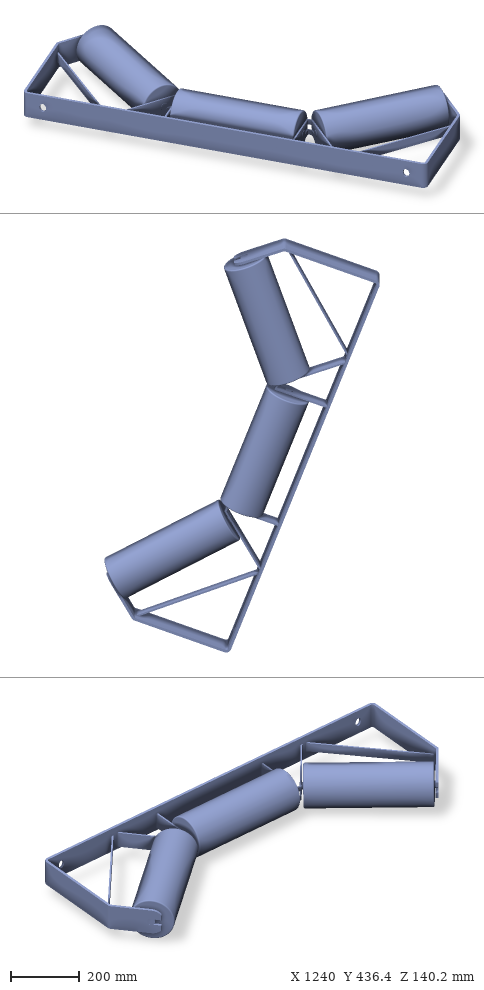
import cadquery as cq
import math

ROLLER_DIAMETER = 133.0
ROLLER_LENGTH = 380.0
RIM_FILLET = 4.0
SHAFT_DIAMETER = 22.0
FLAT_HEIGHT = 19.0
SHAFT_OVERHANG = 11.0
PLATE_GAP = 5.0
FLANGE_GAP = 4.0

CENTER_AXIS_Y = 125.0
CENTER_AXIS_Z = -7.0
SIDE_CENTER_X = 386.0
SIDE_CENTER_Y = 265.0
TROUGH_ANGLE = 40
TILT_ANGLE = 1.1

BAND_LENGTH = 1240
BAND_HEIGHT = 80.0
BAND_THICKNESS = 8.0
BEND_RADIUS = 15.0
FLANGE_TIP = 30.0
HOLE_WIDTH = 20.0
HOLE_HEIGHT = 26.0
HOLE_X = 558.0

PLATE_THICKNESS = 5.0
BRACKET_HEIGHT = 50.0
BRACKET_TOP_Y = 169.0
BRACE_HEIGHT = 30.0
BRACE_FOOT_X = 362.0
BRACE_HEAD_Y = 290.0

COS = math.cos(math.radians(TROUGH_ANGLE))
SIN = math.sin(math.radians(TROUGH_ANGLE))
ROLLER_END = ROLLER_LENGTH / 2
SHAFT_END = ROLLER_END + SHAFT_OVERHANG
PLATE_NEAR = ROLLER_END + PLATE_GAP
PLATE_FAR = PLATE_NEAR + PLATE_THICKNESS
FLANGE_NEAR = ROLLER_END + FLANGE_GAP
FLANGE_FAR = FLANGE_NEAR + BAND_THICKNESS
SIDE_CENTER_Z = CENTER_AXIS_Z + ROLLER_END * math.sin(math.radians(TILT_ANGLE))
BAND_OUTER_X = BAND_LENGTH / 2
BAND_INNER_X = BAND_OUTER_X - BAND_THICKNESS


def side_point(along, across):
    """Point beside the right roller: outward along its axis and upward across it."""
    x = SIDE_CENTER_X + along * COS - across * SIN
    y = SIDE_CENTER_Y + along * SIN + across * COS
    return (x, y)


def side_point_at_x(along, x):
    return side_point(along, (SIDE_CENTER_X + along * COS - x) / SIN)


def side_point_at_y(along, y):
    return side_point(along, (y - SIDE_CENTER_Y - along * SIN) / COS)


def at_center(shape):
    """Move a shape built along X at the origin to the level roller."""
    return shape.translate((0, CENTER_AXIS_Y, CENTER_AXIS_Z))


def at_right_side(shape):
    """Move a shape built along X at the origin to the right inclined roller."""
    tilted = shape.rotate((0, 0, 0), (0, 1, 0), -TILT_ANGLE)
    turned = tilted.rotate((0, 0, 0), (0, 0, 1), TROUGH_ANGLE)
    return turned.translate((SIDE_CENTER_X, SIDE_CENTER_Y, SIDE_CENTER_Z))


def mirrored(shape):
    return shape.mirror("YZ")


def strip(outline, height, middle_z):
    """Upright sheet strip with the given plan outline."""
    bottom = cq.Workplane("XY", origin=(0, 0, middle_z - height / 2))
    return bottom.polyline(outline).close().extrude(height)


def rod(diameter, length):
    """Round rod along X, centred on the origin."""
    return cq.Workplane("YZ", origin=(-length / 2, 0, 0)).circle(diameter / 2).extrude(length)


def flatted_rod(length):
    """Rod of the shaft's section, with flats on top and bottom."""
    return rod(SHAFT_DIAMETER, length).intersect(cq.Workplane().box(length, SHAFT_DIAMETER, FLAT_HEIGHT))


def make_roller():
    shell = rod(ROLLER_DIAMETER, ROLLER_LENGTH).edges().fillet(RIM_FILLET)
    return shell.union(flatted_rod(2 * SHAFT_END))


def make_slot_cutter():
    """Seat of both shaft ends, open upward, long enough to pass the plates at either end."""
    length = 2 * (SHAFT_END + BAND_THICKNESS)
    depth = ROLLER_DIAMETER / 2
    opening = cq.Workplane().box(length, depth, FLAT_HEIGHT).translate((0, depth / 2, 0))
    return flatted_rod(length).union(opening)


def make_flange_trim():
    """Everything outside the round flange tip of the right side, beyond the roller axis."""
    size = BAND_HEIGHT
    block = cq.Workplane().box(size, size, 2 * size).translate((0, size / 2, 0))
    tip = rod(BAND_HEIGHT, size)
    x, y = side_point(FLANGE_FAR, 0)
    return block.cut(tip).rotate((0, 0, 0), (0, 0, 1), TROUGH_ANGLE).translate((x, y, 0))


def make_band():
    right = [
        (BAND_OUTER_X, 0),
        side_point_at_x(FLANGE_FAR, BAND_OUTER_X),
        side_point(FLANGE_FAR, FLANGE_TIP),
        side_point(FLANGE_NEAR, FLANGE_TIP),
        side_point_at_x(FLANGE_NEAR, BAND_INNER_X),
        (BAND_INNER_X, BAND_THICKNESS),
    ]
    left = [(-x, y) for x, y in reversed(right)]
    band = strip(right + left, BAND_HEIGHT, 0)
    base_outer, bend_outer, _, _, bend_inner, base_inner = right
    inner_radius = BEND_RADIUS - BAND_THICKNESS
    for corner, radius in (
        (base_outer, BEND_RADIUS),
        (bend_outer, BEND_RADIUS),
        (bend_inner, inner_radius),
        (base_inner, inner_radius),
    ):
        x, y = corner
        for side in (1, -1):
            band = band.edges(cq.NearestToPointSelector((side * x, y, 0))).fillet(radius)
    holes = cq.Workplane("XZ").pushPoints([(HOLE_X, 0), (-HOLE_X, 0)])
    band = band.cut(holes.ellipse(HOLE_WIDTH / 2, HOLE_HEIGHT / 2).extrude(-BAND_THICKNESS))
    trim = make_flange_trim()
    return band.cut(trim).cut(mirrored(trim))


def make_bracket():
    """Right bracket: a leg at the level roller, a short roof, and a plate at the inclined one."""
    roof_bottom = BRACKET_TOP_Y - PLATE_THICKNESS
    outline = [
        (PLATE_NEAR, BAND_THICKNESS),
        (PLATE_NEAR, BRACKET_TOP_Y),
        side_point_at_y(-PLATE_NEAR, BRACKET_TOP_Y),
        side_point_at_y(-PLATE_NEAR, BAND_THICKNESS),
        side_point_at_y(-PLATE_FAR, BAND_THICKNESS),
        side_point_at_y(-PLATE_FAR, roof_bottom),
        (PLATE_FAR, roof_bottom),
        (PLATE_FAR, BAND_THICKNESS),
    ]
    return strip(outline, BRACKET_HEIGHT, CENTER_AXIS_Z)


def make_brace():
    """Right brace: a straight strip from the base of the band to its end leg."""
    run = BAND_INNER_X - BRACE_FOOT_X
    rise = BRACE_HEAD_Y - BAND_THICKNESS
    slant = math.hypot(run, rise)
    outline = [
        (BRACE_FOOT_X, BAND_THICKNESS),
        (BRACE_FOOT_X + PLATE_THICKNESS * slant / rise, BAND_THICKNESS),
        (BAND_INNER_X, BRACE_HEAD_Y - PLATE_THICKNESS * slant / run),
        (BAND_INNER_X, BRACE_HEAD_Y),
    ]
    return strip(outline, BRACE_HEIGHT, 0)


def make_frame():
    """Band with its brackets and braces as one welded body, slotted for the shafts."""
    frame = make_band()
    for strut in (make_bracket(), make_brace()):
        frame = frame.union(strut).union(mirrored(strut))
    slot = make_slot_cutter()
    side_slot = at_right_side(slot)
    return frame.cut(at_center(slot)).cut(side_slot).cut(mirrored(side_slot))


frame = make_frame()
right_roller = at_right_side(make_roller())
rollers = [at_center(make_roller()), right_roller, mirrored(right_roller)]

result = cq.Compound.makeCompound([frame.val(), *[roller.val() for roller in rollers]])